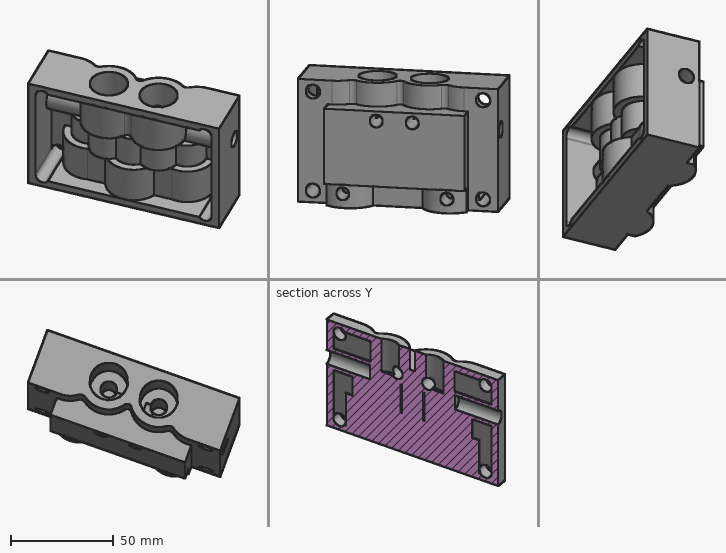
import cadquery as cq
import math

LENGTH = 100
HEIGHT = 62
BODY_DEPTH = 28
WALL = 4
POCKET_DEPTH = 22
POCKET_CORNER_RADIUS = 3

BLOCK_LENGTH = 70
BLOCK_DEPTH = 9
BLOCK_BOTTOM = 12
BLOCK_TOP = 50
BACK_Y = BODY_DEPTH + BLOCK_DEPTH

SCREW_DIAMETER = 7
SCREW_INSET_X = WALL + SCREW_DIAMETER / 2
SCREW_INSET_Z = 6

CASING_RADIUS = 14
WAIST_RADIUS = 10
CASING_HEIGHT = 23
VALVE_X = 13
VALVE_Y = BODY_DEPTH / 2
OUTER_X = 25
OUTER_Y = 22
OUTER_WAIST_TOP = 36
VALVE_CASING_BOTTOM = HEIGHT - CASING_HEIGHT
CASING_FILLET = 2

WEB_FRONT_Y = 8.3

END_SCALLOP_X = 33
SIDE_VALLEY_RADIUS = 3

BORE_DIAMETER = 18.6
BORE_FLOOR = 43
STEM_DIAMETER = 8
STEM_FLOOR = CASING_HEIGHT

PORT_DIAMETER = 6.4
VALVE_PORT_X = 9
VALVE_PORT_Z = 45.1
LOWER_PORT_X = 26
LOWER_PORT_Z = 7.2
SIDE_PORT_DIAMETER = 8
SIDE_TUBE_DIAMETER = 13
SIDE_Y = 21
SIDE_Z = 40


def box(x_min, x_max, y_min, y_max, z_min, z_max):
    size = (x_max - x_min, y_max - y_min, z_max - z_min)
    return cq.Workplane("XY").box(*size, centered=False).translate((x_min, y_min, z_min))


def post(x, y, radius, z_min, z_max):
    """Cylinder along Z."""
    return cq.Workplane("XY", origin=(x, y, z_min)).circle(radius).extrude(z_max - z_min)


def bar_x(x_start, x_end, y, z, diameter):
    """Cylinder along X."""
    return cq.Workplane("YZ", origin=(x_start, y, z)).circle(diameter / 2).extrude(x_end - x_start)


def bar_y(x, y_start, y_end, z, diameter):
    """Cylinder along Y, towards the back."""
    plane = cq.Workplane("XZ", origin=(x, y_start, z))
    return plane.circle(diameter / 2).extrude(y_start - y_end)


def filleted_neck(x_start, x_end, fillet, facing, z_min, z_max):
    """Solid between two casings, from their axes to the notch fillet; facing is -1 for front, 1 for back."""
    half_pitch = (x_end - x_start) / 2
    mid_x = (x_start + x_end) / 2
    reach = CASING_RADIUS + fillet
    rise = math.sqrt(reach**2 - half_pitch**2)
    touch_x = half_pitch * fillet / reach
    touch_y = VALVE_Y + facing * rise * CASING_RADIUS / reach
    notch_y = VALVE_Y + facing * (rise - fillet)
    outline = cq.Workplane("XY", origin=(0, 0, z_min)).moveTo(x_start, VALVE_Y)
    outline = outline.lineTo(mid_x - touch_x, touch_y)
    outline = outline.threePointArc((mid_x, notch_y), (mid_x + touch_x, touch_y))
    return outline.lineTo(x_end, VALVE_Y).close().extrude(z_max - z_min)


def shell():
    body = box(-LENGTH / 2, LENGTH / 2, 0, BODY_DEPTH, 0, HEIGHT)
    inner_x = LENGTH / 2 - WALL
    pocket = box(-inner_x, inner_x, 0, POCKET_DEPTH, WALL, HEIGHT - WALL)
    body = body.cut(pocket.edges("|Y").fillet(POCKET_CORNER_RADIUS))
    half_block = BLOCK_LENGTH / 2
    return body.union(box(-half_block, half_block, BODY_DEPTH, BACK_Y, BLOCK_BOTTOM, BLOCK_TOP))


def casings():
    solid = filleted_neck(-VALVE_X, VALVE_X, CASING_FILLET, -1, VALVE_CASING_BOTTOM, HEIGHT)
    solid = solid.union(box(-VALVE_X, VALVE_X, VALVE_Y, BODY_DEPTH, VALVE_CASING_BOTTOM, HEIGHT))
    for x in (-VALVE_X, VALVE_X):
        solid = solid.union(post(x, VALVE_Y, CASING_RADIUS, VALVE_CASING_BOTTOM, HEIGHT))
        solid = solid.union(post(x, VALVE_Y, WAIST_RADIUS, CASING_HEIGHT, VALVE_CASING_BOTTOM))
    solid = solid.union(post(0, VALVE_Y, CASING_RADIUS, 0, CASING_HEIGHT))
    solid = solid.union(post(0, VALVE_Y, WAIST_RADIUS, CASING_HEIGHT, VALVE_CASING_BOTTOM))
    half_block = BLOCK_LENGTH / 2
    overhang = box(-LENGTH / 2, -half_block, BODY_DEPTH, BACK_Y, 0, CASING_HEIGHT)
    overhang = overhang.union(box(half_block, LENGTH / 2, BODY_DEPTH, BACK_Y, 0, CASING_HEIGHT))
    for x in (-OUTER_X, OUTER_X):
        solid = solid.union(post(x, OUTER_Y, CASING_RADIUS, 0, CASING_HEIGHT).cut(overhang))
        solid = solid.union(post(x, OUTER_Y, WAIST_RADIUS, CASING_HEIGHT, OUTER_WAIST_TOP))
    web = box(-OUTER_X, OUTER_X, WEB_FRONT_Y, BODY_DEPTH, 0, CASING_HEIGHT)
    return solid.union(web)


def side_tubes():
    tubes = bar_x(-LENGTH / 2, -VALVE_X, SIDE_Y, SIDE_Z, SIDE_TUBE_DIAMETER)
    return tubes.union(bar_x(VALVE_X, LENGTH / 2, SIDE_Y, SIDE_Z, SIDE_TUBE_DIAMETER))


def back_scallops():
    """Cutter that leaves the upper back wall following the rounded casings."""
    crests = (-END_SCALLOP_X, -VALVE_X, VALVE_X, END_SCALLOP_X)
    fillets = (SIDE_VALLEY_RADIUS, CASING_FILLET, SIDE_VALLEY_RADIUS)
    cutter = box(-END_SCALLOP_X, END_SCALLOP_X, VALVE_Y, BODY_DEPTH, BLOCK_TOP, HEIGHT)
    for x in crests:
        cutter = cutter.cut(post(x, VALVE_Y, CASING_RADIUS, BLOCK_TOP, HEIGHT))
    for start, end, fillet in zip(crests, crests[1:], fillets):
        cutter = cutter.cut(filleted_neck(start, end, fillet, 1, BLOCK_TOP, HEIGHT))
    return cutter


def holes():
    cutter = cq.Workplane("XY")
    for side in (-1, 1):
        for z in (SCREW_INSET_Z, HEIGHT - SCREW_INSET_Z):
            screw_x = side * (LENGTH / 2 - SCREW_INSET_X)
            cutter = cutter.add(bar_y(screw_x, 0, BODY_DEPTH, z, SCREW_DIAMETER))
        cutter = cutter.add(post(side * VALVE_X, VALVE_Y, BORE_DIAMETER / 2, BORE_FLOOR, HEIGHT))
        cutter = cutter.add(post(side * VALVE_X, VALVE_Y, STEM_DIAMETER / 2, STEM_FLOOR, BORE_FLOOR))
        cutter = cutter.add(bar_y(side * VALVE_PORT_X, VALVE_Y, BACK_Y, VALVE_PORT_Z, PORT_DIAMETER))
        cutter = cutter.add(bar_y(side * LOWER_PORT_X, OUTER_Y, BACK_Y, LOWER_PORT_Z, PORT_DIAMETER))
        start, end = sorted((side * LENGTH / 2, side * OUTER_X))
        cutter = cutter.add(bar_x(start, end, SIDE_Y, SIDE_Z, SIDE_PORT_DIAMETER))
    return cutter.combine()


solid = shell().union(casings()).union(side_tubes())
result = solid.cut(back_scallops()).cut(holes())